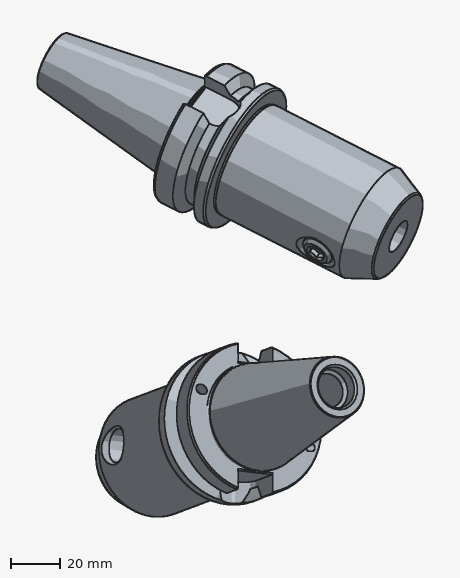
import cadquery as cq
import math

LENGTH = 165.4

TAPER_RATIO = 7 / 24
GAUGE_DIA = 44.7
GAUGE_X = 66.2
SMALL_END_DIA = GAUGE_DIA - GAUGE_X * TAPER_RATIO
SMALL_END_CHAMFER = 0.3

RELIEF_DIA = 43.8
RELIEF_FILLET = 0.8

FLANGE_DIA = 63.0
FLANGE_START_X = 67.5
FLANGE_END_X = 92.5
FLANGE_CHAMFER_HEIGHT = 0.5
FLANGE_CHAMFER_WIDTH = 1.0
GROOVE_DIA = 53.1
GROOVE_MIDDLE_X = 82.0
GROOVE_FLOOR_WIDTH = 4.3
GROOVE_FLANK_ANGLE = 30.0

SLOT_WIDTH = 16.2
SLOT_FLOOR_Z = 22.7
SLOT_END_X = 88.5
SLOT_EDGE_CHAMFER = 0.7

BODY_DIA = 50.0
NECK_DIA = 49.6
NECK_WIDTH = 1.0
NOSE_START_X = 152.7
NOSE_END_DIA = 39.0
NOSE_CHAMFER = 0.7

BORE_DIA = 14.0
COUNTERBORE_DIA = 16.9
COUNTERBORE_DEPTH = 6.5
MOUTH_DIA = 18.7

COOLANT_DIA = 4.0
COOLANT_RADIUS = 26.8
COOLANT_POSITION_ANGLE = 20.0
COOLANT_SLANT = 40.0

SCREW_X = 141.3
SCREW_DIA = 13.9
SCREW_CHAMFER = 1.5
SCREW_HEAD_Y = -25.0
COUNTERSINK_DIA = 18.4
SOCKET_ACROSS_FLATS = 6.3
SOCKET_DEPTH = 3.0
SOCKET_MOUTH_DIA = 8.3


def cone_along(start, direction, start_dia, end_dia, height):
    """Solid cone from a start point along a direction."""
    return cq.Workplane(
        cq.Solid.makeCone(start_dia / 2, end_dia / 2, height, cq.Vector(*start), cq.Vector(*direction))
    )


def make_blank():
    """Outer shape of the holder, turned about the X axis."""
    gauge_r = GAUGE_DIA / 2
    relief_r = RELIEF_DIA / 2
    flange_r = FLANGE_DIA / 2
    groove_r = GROOVE_DIA / 2
    nose_r = NOSE_END_DIA / 2
    small_r = SMALL_END_DIA / 2
    groove_floor_half = GROOVE_FLOOR_WIDTH / 2
    flank = (flange_r - groove_r) * math.tan(math.radians(GROOVE_FLANK_ANGLE))
    groove_top_half = groove_floor_half + flank
    taper_side = [
        (0, 0),
        (0, small_r - SMALL_END_CHAMFER),
        (SMALL_END_CHAMFER, small_r + SMALL_END_CHAMFER * TAPER_RATIO / 2),
        (GAUGE_X, gauge_r),
        (GAUGE_X, relief_r),
    ]
    fillet_start = (FLANGE_START_X - RELIEF_FILLET, relief_r)
    fillet_middle = (
        FLANGE_START_X - RELIEF_FILLET * (1 - math.sqrt(0.5)),
        relief_r + RELIEF_FILLET * (1 - math.sqrt(0.5)),
    )
    fillet_end = (FLANGE_START_X, relief_r + RELIEF_FILLET)
    flange_side = [
        (FLANGE_START_X, flange_r - FLANGE_CHAMFER_HEIGHT),
        (FLANGE_START_X + FLANGE_CHAMFER_WIDTH, flange_r),
        (GROOVE_MIDDLE_X - groove_top_half, flange_r),
        (GROOVE_MIDDLE_X - groove_floor_half, groove_r),
        (GROOVE_MIDDLE_X + groove_floor_half, groove_r),
        (GROOVE_MIDDLE_X + groove_top_half, flange_r),
        (FLANGE_END_X - FLANGE_CHAMFER_WIDTH, flange_r),
        (FLANGE_END_X, flange_r - FLANGE_CHAMFER_HEIGHT),
        (FLANGE_END_X, NECK_DIA / 2),
        (FLANGE_END_X + NECK_WIDTH, NECK_DIA / 2),
        (FLANGE_END_X + NECK_WIDTH, BODY_DIA / 2),
        (NOSE_START_X, BODY_DIA / 2),
        (LENGTH - NOSE_CHAMFER, nose_r),
        (LENGTH, nose_r - NOSE_CHAMFER),
        (LENGTH, 0),
    ]
    return (
        cq.Workplane("XY")
        .polyline(taper_side + [fillet_start])
        .threePointArc(fillet_middle, fillet_end)
        .polyline(flange_side, includeCurrent=True)
        .close()
        .revolve(360, (0, 0, 0), (1, 0, 0))
    )


def make_bore():
    """Through bore with a chamfered counterbore at the small end."""
    bore_r = BORE_DIA / 2
    counterbore_r = COUNTERBORE_DIA / 2
    mouth_r = MOUTH_DIA / 2
    outline = [
        (0, 0),
        (0, mouth_r),
        (mouth_r - counterbore_r, counterbore_r),
        (COUNTERBORE_DEPTH, counterbore_r),
        (COUNTERBORE_DEPTH + counterbore_r - bore_r, bore_r),
        (LENGTH, bore_r),
        (LENGTH, 0),
    ]
    return cq.Workplane("XY").polyline(outline).close().revolve(360, (0, 0, 0), (1, 0, 0))


def make_drive_slot(side):
    """Round-ended slot from the flange face, above (+1) or below (-1) the axis."""
    slot_r = SLOT_WIDTH / 2
    arc_x = SLOT_END_X - slot_r
    slot = (
        cq.Workplane("XY")
        .workplane(offset=side * SLOT_FLOOR_Z)
        .moveTo(FLANGE_START_X, -slot_r)
        .lineTo(arc_x, -slot_r)
        .threePointArc((SLOT_END_X, 0), (arc_x, slot_r))
        .lineTo(FLANGE_START_X, slot_r)
        .close()
        .extrude(side * FLANGE_DIA / 2)
    )
    edge = (
        cq.Workplane("XZ")
        .polyline(
            [
                (FLANGE_START_X, side * SLOT_FLOOR_Z),
                (FLANGE_START_X + SLOT_EDGE_CHAMFER, side * SLOT_FLOOR_Z),
                (FLANGE_START_X, side * (SLOT_FLOOR_Z - SLOT_EDGE_CHAMFER)),
            ]
        )
        .close()
        .extrude(slot_r, both=True)
    )
    return slot.union(edge)


def make_coolant_hole(position_angle):
    """Slanted hole that starts on the flange face and ends on the bore's axis."""
    angle = math.radians(position_angle)
    slant = math.radians(COOLANT_SLANT)
    across = (math.cos(angle), math.sin(angle))
    direction = (math.cos(slant), -across[0] * math.sin(slant), -across[1] * math.sin(slant))
    length = COOLANT_RADIUS / math.sin(slant)
    lead_in = COOLANT_DIA
    entry = (FLANGE_START_X, COOLANT_RADIUS * across[0], COOLANT_RADIUS * across[1])
    start = [point - lead_in * step for point, step in zip(entry, direction)]
    hole = cq.Solid.makeCylinder(
        COOLANT_DIA / 2, length + lead_in, cq.Vector(*start), cq.Vector(*direction)
    )
    return cq.Workplane(hole)


def make_screw_hole():
    """Cross hole through both walls, countersunk at each end."""
    body_r = BODY_DIA / 2
    hole = cq.Workplane("XZ").center(SCREW_X, 0).circle(SCREW_DIA / 2).extrude(body_r, both=True)
    depth = COUNTERSINK_DIA / 2
    for side in (-1, 1):
        countersink = cone_along((SCREW_X, side * body_r, 0), (0, -side, 0), COUNTERSINK_DIA, 0, depth)
        hole = hole.union(countersink)
    return hole


def make_screw():
    """Headless screw with a hexagon socket, reaching from the outside to the bore."""
    length = -SCREW_HEAD_Y - BORE_DIA / 2
    screw = (
        cq.Workplane("XZ", origin=(SCREW_X, SCREW_HEAD_Y, 0))
        .circle(SCREW_DIA / 2)
        .extrude(-length)
        .faces("<Y")
        .chamfer(SCREW_CHAMFER)
    )
    socket = (
        cq.Workplane("XZ", origin=(SCREW_X, SCREW_HEAD_Y, 0))
        .polygon(6, SOCKET_ACROSS_FLATS, circumscribed=True)
        .extrude(-SOCKET_DEPTH)
    )
    mouth_depth = (SOCKET_MOUTH_DIA - SOCKET_ACROSS_FLATS) / 2
    mouth = cone_along(
        (SCREW_X, SCREW_HEAD_Y, 0), (0, 1, 0), SOCKET_MOUTH_DIA, SOCKET_ACROSS_FLATS, mouth_depth
    )
    return screw.cut(socket).cut(mouth)


holder = make_blank().cut(make_bore())
for slot_side in (-1, 1):
    holder = holder.cut(make_drive_slot(slot_side))
for turn in (0, 180):
    holder = holder.cut(make_coolant_hole(COOLANT_POSITION_ANGLE + turn))
holder = holder.cut(make_screw_hole())

screw = make_screw()

result = cq.Compound.makeCompound([holder.val(), screw.val()])